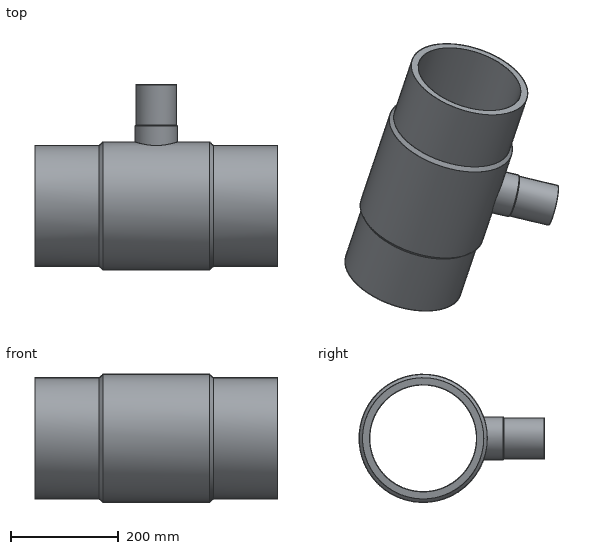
import cadquery as cq

pipe_length = 451.0
pipe_diameter = 225.5
bore_diameter = 198.5

sleeve_length = 212.0
sleeve_diameter = 238.5
bevel_length = 7.0

branch_reach = 225.5
branch_diameter = 76.0
collar_reach = 150.0
collar_diameter = 80.0

pipe_radius = pipe_diameter / 2
sleeve_radius = sleeve_diameter / 2


def side_branch():
    """Branch with its root collar, revolved about Y and bevelled down to the branch surface."""
    branch_radius = branch_diameter / 2
    collar_radius = collar_diameter / 2
    collar_bevel = collar_radius - branch_radius
    profile = [
        (0, 0),
        (collar_radius, 0),
        (collar_radius, collar_reach - collar_bevel),
        (branch_radius, collar_reach),
        (branch_radius, branch_reach),
        (0, branch_reach),
    ]
    return cq.Workplane("XY").polyline(profile).close().revolve(360, (0, 0, 0), (0, 1, 0))


def run_body():
    """Pipe and bevelled sleeve, revolved about the X axis as one solid."""
    half_pipe = pipe_length / 2
    half_sleeve = sleeve_length / 2
    half_crown = half_sleeve - bevel_length
    profile = [
        (-half_pipe, 0),
        (-half_pipe, pipe_radius),
        (-half_sleeve, pipe_radius),
        (-half_crown, sleeve_radius),
        (half_crown, sleeve_radius),
        (half_sleeve, pipe_radius),
        (half_pipe, pipe_radius),
        (half_pipe, 0),
    ]
    return cq.Workplane("XY").polyline(profile).close().revolve(360, (0, 0, 0), (1, 0, 0))


def main_bore():
    """Through bore along X."""
    start = cq.Workplane("YZ").workplane(offset=-pipe_length / 2)
    return start.circle(bore_diameter / 2).extrude(pipe_length)


result = run_body().union(side_branch()).cut(main_bore())